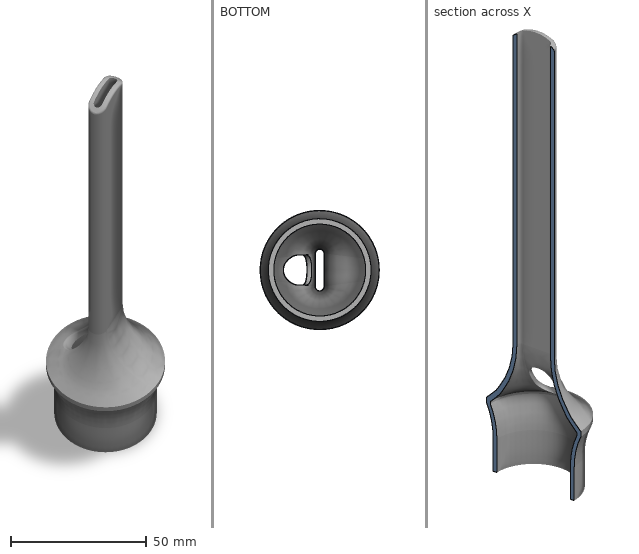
import cadquery as cq
import math

total_height = 190.0
collar_height = 14.2
rim_bottom = 28.0
rim_top = 30.2
neck_height = 57.0

wall = 2.0
collar_radius = 19.0
rim_radius = 22.0
inner_rim_top = 28.9

blade_thickness = 7.2
blade_width = 19.4
tip_drop = 3.5
tip_rounding = 0.8

rim_panel_half_width = 3.8
shoulder_steps = 6
flat_tolerance = 1.9e-06

opening_width = 11.0
opening_bottom = 32.9
opening_top = 48.0
opening_corner = 5.1
opening_rounding = 0.8
edge_samples = (0.1, 0.5, 0.9)
touch_tolerance = 0.002


def arc_profile(neck_half, rim_half, rim_z, z):
    """Half extent at height z on an arc that is vertical at the neck and ends at the rim."""
    rise = neck_height - rim_z
    spread = rim_half - neck_half
    radius = (spread**2 + rise**2) / (2 * spread)
    return neck_half + radius - math.sqrt(radius**2 - (neck_height - z) ** 2)


def shoulder_section(inset, rim_z, z):
    """Closed outline of the shoulder at height z: two side curves and two round ends."""
    rim = rim_radius - inset
    neck_side = blade_thickness / 2 - inset
    neck_end = blade_width / 2 - inset
    side = arc_profile(neck_side, rim, rim_z, z)
    end = arc_profile(neck_end, rim, rim_z, z)
    spread = (side - neck_side) / (rim - neck_side)
    neck_corner = (blade_width - blade_thickness) / 2
    corner_y = neck_corner + spread * (rim_panel_half_width - neck_corner)
    bulge = spread * (rim - math.sqrt(rim**2 - rim_panel_half_width**2))
    corner_x = side - bulge
    outline = cq.Workplane("XY", origin=(0, 0, z)).moveTo(corner_x, -corner_y)
    if bulge > flat_tolerance:
        outline = outline.threePointArc((side, 0), (corner_x, corner_y))
    else:
        outline = outline.lineTo(corner_x, corner_y)
    outline = outline.threePointArc((0, end), (-corner_x, corner_y))
    if bulge > flat_tolerance:
        outline = outline.threePointArc((-side, 0), (-corner_x, -corner_y))
    else:
        outline = outline.lineTo(-corner_x, -corner_y)
    return outline.threePointArc((0, -end), (corner_x, -corner_y)).wire().val()


def shoulder(inset, rim_z):
    """Smooth transition from the round rim to the flat blade."""
    step = (neck_height - rim_z) / shoulder_steps
    heights = [rim_z + step * i for i in range(shoulder_steps)] + [neck_height]
    return cq.Workplane(cq.Solid.makeLoft([shoulder_section(inset, rim_z, z) for z in heights]))


def base(inset, top):
    """Turned collar, flare and rim band."""
    flare_spread = rim_radius - collar_radius
    flare_rise = rim_bottom - collar_height
    flare_radius = (flare_spread**2 + flare_rise**2) / (2 * flare_spread)
    half_rise = flare_rise / 2
    mid_radius = collar_radius + flare_radius - math.sqrt(flare_radius**2 - half_rise**2)
    return (
        cq.Workplane("XZ")
        .lineTo(collar_radius - inset, 0)
        .lineTo(collar_radius - inset, collar_height)
        .threePointArc((mid_radius - inset, collar_height + half_rise), (rim_radius - inset, rim_bottom))
        .lineTo(rim_radius - inset, top)
        .lineTo(0, top)
        .close()
        .revolve(360, (0, 0, 0), (0, 1, 0))
    )


def blade(inset):
    """Straight bar with round ends, from the neck to the full height."""
    return (
        cq.Workplane("XY", origin=(0, 0, neck_height))
        .slot2D(blade_width - 2 * inset, blade_thickness - 2 * inset, 90)
        .extrude(total_height - neck_height)
    )


def arched_blade():
    """Blade with its tip arched across the width and its tip edge rounded."""
    half_width = blade_width / 2
    tip_end = total_height - tip_drop
    arch = (
        cq.Workplane("YZ")
        .moveTo(-half_width, neck_height)
        .lineTo(half_width, neck_height)
        .lineTo(half_width, tip_end)
        .threePointArc((0, total_height), (-half_width, tip_end))
        .close()
        .extrude(blade_thickness / 2, both=True)
    )
    return blade(0).intersect(arch).faces(">Z").edges().fillet(tip_rounding)


def side_opening():
    """Rounded window running from the -X side to the middle plane."""
    return (
        cq.Workplane("YZ", origin=(0, 0, (opening_bottom + opening_top) / 2))
        .rect(opening_width, opening_top - opening_bottom)
        .extrude(-rim_radius)
        .edges("|X")
        .fillet(opening_corner)
    )


def mouth_edges(body, window):
    """Curved edges of the body that follow the window wall."""
    walls = cq.Compound.makeCompound(window.faces("not |X").vals())
    edges = []
    for edge in body.edges("%BSPLINE").vals():
        samples = [cq.Vertex.makeVertex(*edge.positionAt(t).toTuple()) for t in edge_samples]
        if all(walls.distance(sample) < touch_tolerance for sample in samples):
            edges.append(edge)
    return edges


outer = base(0, rim_top).union(shoulder(0, rim_top)).union(arched_blade())
cavity = base(wall, inner_rim_top).union(shoulder(wall, inner_rim_top)).union(blade(wall))

window = side_opening()
opened = outer.cut(window)
opened = opened.newObject(mouth_edges(opened, window)).fillet(opening_rounding)
result = opened.cut(cavity)